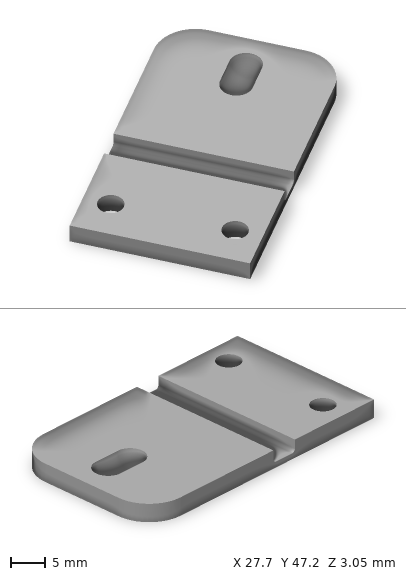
import cadquery as cq

width = 27.7
length = 47.25
thickness = 3.05
corner_radius = 6.4

groove_start = 16.75
groove_width = 4.55
groove_depth = 2.1
groove_fillet = 0.5

hole_diameter = 4.0
hole_spacing = 19.1
hole_edge_distance = 6.35

slot_width = 5.0
slot_length = 9.65
slot_end_distance = 7.85
slot_center_y = length - slot_end_distance


def make_plate():
    plate = cq.Workplane("XY").box(width, length, thickness, centered=(True, False, False))
    return plate.edges("|Z and >Y").fillet(corner_radius)


def make_groove():
    """Channel cutter with rounded lower edges."""
    cutter = (
        cq.Workplane("XY")
        .box(width, groove_width, groove_depth, centered=(True, False, False))
        .edges("|X and <Z")
        .fillet(groove_fillet)
    )
    return cutter.translate((0, groove_start, thickness - groove_depth))


def make_holes():
    half_spacing = hole_spacing / 2
    return (
        cq.Workplane("XY")
        .pushPoints([(-half_spacing, hole_edge_distance), (half_spacing, hole_edge_distance)])
        .circle(hole_diameter / 2)
        .extrude(thickness)
    )


def make_slot():
    """Capsule along Y whose axis lies in the top face."""
    radius = slot_width / 2
    straight_length = slot_length - slot_width
    capsule = (
        cq.Workplane("XZ")
        .circle(radius)
        .extrude(straight_length / 2, both=True)
    )
    for side in (-1, 1):
        end_ball = cq.Workplane("XY").sphere(radius).translate((0, side * straight_length / 2, 0))
        capsule = capsule.union(end_ball)
    return capsule.translate((0, slot_center_y, thickness))


result = make_plate().cut(make_groove()).cut(make_holes()).cut(make_slot())